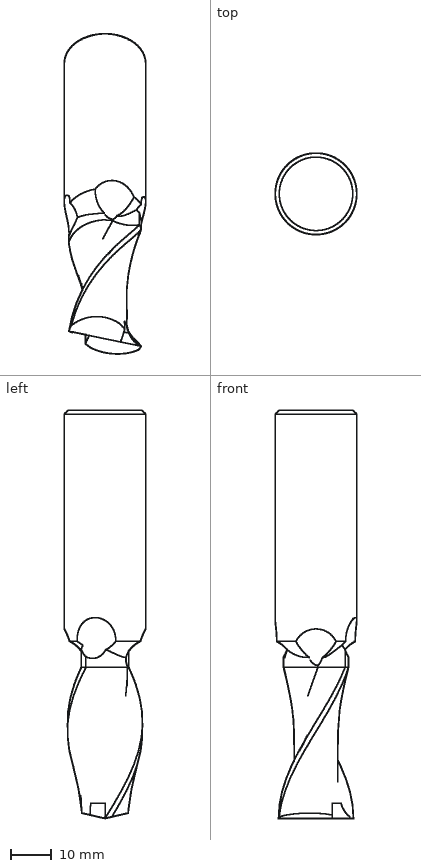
import cadquery as cq
import math

total_length = 100.0
shank_radius = 10.0
top_chamfer = 1.0

cutting_radius = 9.2
cutter_length = 37.0
twist_per_length = 3.8
land_angle = 9.0
end_relief_height = 1.4
end_relief_reach = 6.0

gash_inner_x = 4.0
gash_outer_x = 8.3
gash_height = 3.8
gash_depth = 6.0

shoulder_z = 43.4
neck_core_radius = 4.0
neck_mid_z = 41.0
neck_mid_radius = 6.7

scallop_centre_radius = 11.5
front_scallop_angle = 270.0
front_scallop_radius = 6.6
front_scallop_z = 40.0
side_scallop_angle = 166.0
side_scallop_radius = 5.6
side_scallop_z = 43.8


def half_turn(point):
    """Opposite point across the tool axis."""
    return (-point[0], -point[1])


def on_cutting_circle(degrees):
    """Point on the cutting circle at an angle from the X axis."""
    angle = math.radians(degrees)
    return (cutting_radius * math.cos(angle), cutting_radius * math.sin(angle))


def tooth_section():
    """Two-tooth section with its cutting edges on the X axis."""
    edge = (cutting_radius, 0)
    rake_middle = (6.2, -1.3)
    heel_start = (3.8, -3.9)
    heel_end = (2.0, -5.0)
    back_middle = (-3.0, -5.4)
    land_middle = on_cutting_circle(180 + land_angle / 2)
    land_end = on_cutting_circle(180 + land_angle)
    return (
        cq.Workplane("XY")
        .moveTo(*edge)
        .threePointArc(rake_middle, heel_start)
        .lineTo(*heel_end)
        .threePointArc(back_middle, land_end)
        .threePointArc(land_middle, half_turn(edge))
        .threePointArc(half_turn(rake_middle), half_turn(heel_start))
        .lineTo(*half_turn(heel_end))
        .threePointArc(half_turn(back_middle), half_turn(land_end))
        .threePointArc(half_turn(land_middle), edge)
        .close()
    )


def end_relief():
    """Wedge below the end tooth that slopes up toward -Y."""
    reach = 2 * end_relief_reach
    height = 2 * end_relief_height
    return (
        cq.Workplane("YZ")
        .polyline([(0, 0), (-reach, height), (-reach, 0)])
        .close()
        .extrude(shank_radius, both=True)
    )


def gash():
    """Square notch on the -Y side of the +X tooth."""
    return cq.Workplane("XY").box(
        gash_outer_x - gash_inner_x, gash_depth, gash_height, centered=False
    ).translate((gash_inner_x, -gash_depth, 0))


def make_cutter():
    cutter = tooth_section().twistExtrude(cutter_length, cutter_length * twist_per_length)
    for turn in (0, 180):
        for tool in (end_relief(), gash()):
            cutter = cutter.cut(tool.rotate((0, 0, 0), (0, 0, 1), turn))
    return cutter


def neck_flare():
    """Concave flare from the flute core out to the shank."""
    return (
        cq.Workplane("XZ")
        .moveTo(0, cutter_length)
        .lineTo(neck_core_radius, cutter_length)
        .threePointArc((neck_mid_radius, neck_mid_z), (shank_radius, shoulder_z))
        .lineTo(0, shoulder_z)
        .close()
        .revolve(360, (0, 0), (0, 1))
    )


def neck_teeth():
    """Straight continuation of the teeth from the top of the cutter to the shoulder."""
    return (
        tooth_section()
        .extrude(shoulder_z - cutter_length)
        .rotate((0, 0, 0), (0, 0, 1), cutter_length * twist_per_length)
        .translate((0, 0, cutter_length))
    )


def scallop(angle, radius, height):
    """Ball centred just outside the shank."""
    return (
        cq.Workplane("XY")
        .sphere(radius)
        .translate((scallop_centre_radius, 0, height))
        .rotate((0, 0, 0), (0, 0, 1), angle)
    )


def make_shank():
    round_bar = (
        cq.Workplane("XY", origin=(0, 0, shoulder_z))
        .circle(shank_radius)
        .extrude(total_length - shoulder_z)
        .faces(">Z")
        .chamfer(top_chamfer)
    )
    shank = round_bar.union(neck_flare()).union(neck_teeth())
    for turn in (0, 180):
        shank = shank.cut(scallop(front_scallop_angle + turn, front_scallop_radius, front_scallop_z))
        shank = shank.cut(scallop(side_scallop_angle + turn, side_scallop_radius, side_scallop_z))
    return shank


cutter = make_cutter()
shank = make_shank()
result = cq.Compound.makeCompound([cutter.val(), shank.val()])